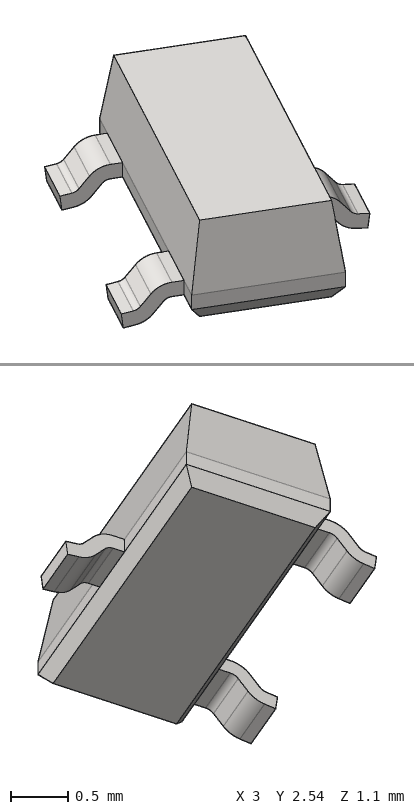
import cadquery as cq
import math

BODY_LENGTH = 3.0
BODY_WIDTH = 1.4
TAPER_INSET = 0.1
BODY_BOTTOM = 0.1
BODY_TOP = 1.1

LEAD_WIDTH = 0.5
LEAD_THICKNESS = 0.15
LEAD_TOP = 0.4
LEAD_BOTTOM = LEAD_TOP - LEAD_THICKNESS
LEAD_TIP_REACH = 1.27
SHOULDER_LENGTH = 0.11
INNER_BEND_RADIUS = 0.1
OUTER_BEND_RADIUS = INNER_BEND_RADIUS + LEAD_THICKNESS
SLOPE_ANGLE = math.radians(50)
FOOT_ANGLE = math.radians(7)
PAIR_PITCH = 2.0

BAND_TOP = LEAD_TOP
BAND_BOTTOM = LEAD_BOTTOM


def tapered_half(band_z, end_z):
    """Half of the body, narrowing from the band edge to its flat end face."""
    return (
        cq.Workplane("XY", origin=(0, 0, band_z))
        .rect(BODY_LENGTH, BODY_WIDTH)
        .workplane(offset=end_z - band_z)
        .rect(BODY_LENGTH - 2 * TAPER_INSET, BODY_WIDTH - 2 * TAPER_INSET)
        .loft(ruled=True)
    )


def make_body():
    band = (
        cq.Workplane("XY", origin=(0, 0, BAND_BOTTOM))
        .rect(BODY_LENGTH, BODY_WIDTH)
        .extrude(BAND_TOP - BAND_BOTTOM)
    )
    upper = tapered_half(BAND_TOP, BODY_TOP)
    lower = tapered_half(BAND_BOTTOM, BODY_BOTTOM)
    return band.union(upper).union(lower)


def on_circle(center, radius, angle):
    """Point on a circle at an angle measured outward from straight up."""
    return (center[0] + radius * math.sin(angle), center[1] + radius * math.cos(angle))


def make_lead(x_center, side):
    """Lead leaving the body towards +Y (side = 1) or -Y (side = -1)."""
    root = BODY_WIDTH / 2

    tip_top = (LEAD_TIP_REACH, LEAD_THICKNESS * math.cos(FOOT_ANGLE))
    tip_bottom = (LEAD_TIP_REACH - LEAD_THICKNESS * math.sin(FOOT_ANGLE), 0)

    upper_center = (root + SHOULDER_LENGTH, LEAD_TOP - OUTER_BEND_RADIUS)
    slope_top = on_circle(upper_center, OUTER_BEND_RADIUS, SLOPE_ANGLE)

    bend_run = INNER_BEND_RADIUS * (math.sin(SLOPE_ANGLE) - math.sin(FOOT_ANGLE))
    bend_drop = INNER_BEND_RADIUS * (math.cos(FOOT_ANGLE) - math.cos(SLOPE_ANGLE))
    straight_run = tip_top[0] - slope_top[0] - bend_run
    straight_drop = slope_top[1] - tip_top[1] - bend_drop
    slope_length = (
        straight_drop * math.cos(FOOT_ANGLE) - straight_run * math.sin(FOOT_ANGLE)
    ) / math.sin(SLOPE_ANGLE - FOOT_ANGLE)
    slope_end = (
        slope_top[0] + slope_length * math.cos(SLOPE_ANGLE),
        slope_top[1] - slope_length * math.sin(SLOPE_ANGLE),
    )
    lower_center = on_circle(slope_end, INNER_BEND_RADIUS, SLOPE_ANGLE)
    mid_angle = (SLOPE_ANGLE + FOOT_ANGLE) / 2

    def upper_bend(radius, angle):
        y, z = on_circle(upper_center, radius, angle)
        return (side * y, z)

    def lower_bend(radius, angle):
        y, z = on_circle(lower_center, -radius, angle)
        return (side * y, z)

    return (
        cq.Workplane("YZ", origin=(x_center, 0, 0))
        .moveTo(side * root, LEAD_TOP)
        .lineTo(*upper_bend(OUTER_BEND_RADIUS, 0))
        .threePointArc(
            upper_bend(OUTER_BEND_RADIUS, SLOPE_ANGLE / 2),
            upper_bend(OUTER_BEND_RADIUS, SLOPE_ANGLE),
        )
        .lineTo(*lower_bend(INNER_BEND_RADIUS, SLOPE_ANGLE))
        .threePointArc(
            lower_bend(INNER_BEND_RADIUS, mid_angle),
            lower_bend(INNER_BEND_RADIUS, FOOT_ANGLE),
        )
        .lineTo(side * tip_top[0], tip_top[1])
        .lineTo(side * tip_bottom[0], tip_bottom[1])
        .lineTo(*lower_bend(OUTER_BEND_RADIUS, FOOT_ANGLE))
        .threePointArc(
            lower_bend(OUTER_BEND_RADIUS, mid_angle),
            lower_bend(OUTER_BEND_RADIUS, SLOPE_ANGLE),
        )
        .lineTo(*upper_bend(INNER_BEND_RADIUS, SLOPE_ANGLE))
        .threePointArc(
            upper_bend(INNER_BEND_RADIUS, SLOPE_ANGLE / 2),
            upper_bend(INNER_BEND_RADIUS, 0),
        )
        .lineTo(side * root, LEAD_BOTTOM)
        .close()
        .extrude(LEAD_WIDTH / 2, both=True)
    )


body = make_body()

LEAD_PLACES = [(-PAIR_PITCH / 2, -1), (PAIR_PITCH / 2, -1), (0, 1)]
leads = [make_lead(x_center, side) for x_center, side in LEAD_PLACES]

result = cq.Compound.makeCompound([body.val(), *[lead.val() for lead in leads]])